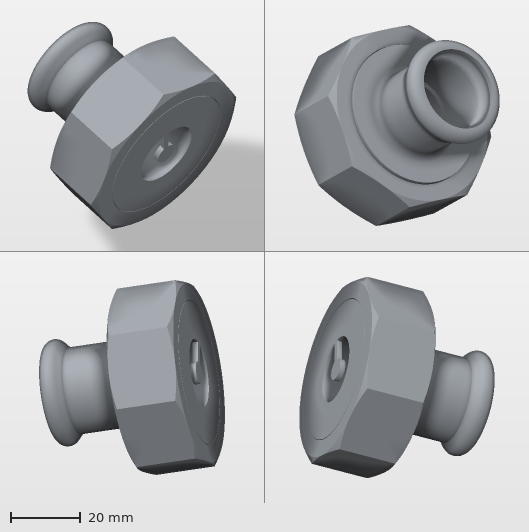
import cadquery as cq
import math

OVERALL_LENGTH = 44.0

NUT_CORNER_DIAMETER = 56.3
NUT_SIDES = 8
NUT_START = 24.1
NUT_LENGTH = OVERALL_LENGTH - NUT_START
NUT_HOLE_DIAMETER = 42.0
NUT_FLAT_RADIUS = NUT_CORNER_DIAMETER / 2 * math.cos(math.pi / NUT_SIDES)
CHAMFER_ANGLE = 30.0
CHAMFER_LENGTH = (NUT_CORNER_DIAMETER / 2 - NUT_FLAT_RADIUS) * math.tan(math.radians(CHAMFER_ANGLE))

TUBE_RADIUS = 25.2 / 2
TUBE_BORE_RADIUS = 22.2 / 2
WALL = TUBE_RADIUS - TUBE_BORE_RADIUS
COLLAR_RADIUS = 41.6 / 2
COLLAR_START = 23.0
ROOT_FILLET = 1.95
END_BORE_RADIUS = 19.6 / 2

BEAD_ARC_RADIUS = 2.9
BEAD_CAVITY_RADIUS = BEAD_ARC_RADIUS - WALL
BEAD_CONE_START = 5.1
BEAD_CONE_END = 6.9
CAVITY_CONE_START = 4.05
CAVITY_CONE_END = 5.85
CAVITY_CONE_END_RADIUS = 23.3 / 2
BORE_START = 7.2

LIP_RADIUS = 12.0
LIP_STRAIGHT_LENGTH = 0.8
LIP_END = 1.8
LIP_END_RADIUS = 12.1

DISC_DIAMETER = 6.4
ARM_WIDTH = 1.7
DISC_THICKNESS = 1.7


def bead_arc_height(x, radius):
    """Distance from the X axis to the bead arc of the given radius at position x."""
    return TUBE_RADIUS + math.sqrt(radius**2 - (x - BEAD_ARC_RADIUS) ** 2)


def revolve_about_x(profile):
    return profile.close().revolve(360, (0, 0, 0), (1, 0, 0))


def make_nut():
    blank = (
        cq.Workplane("YZ")
        .workplane(offset=NUT_START)
        .polygon(NUT_SIDES, NUT_CORNER_DIAMETER)
        .extrude(NUT_LENGTH)
    )
    corner_radius = NUT_CORNER_DIAMETER / 2
    chamfer_envelope = revolve_about_x(
        cq.Workplane("XY")
        .moveTo(NUT_START, 0)
        .lineTo(NUT_START, NUT_FLAT_RADIUS)
        .lineTo(NUT_START + CHAMFER_LENGTH, corner_radius)
        .lineTo(OVERALL_LENGTH - CHAMFER_LENGTH, corner_radius)
        .lineTo(OVERALL_LENGTH, NUT_FLAT_RADIUS)
        .lineTo(OVERALL_LENGTH, 0)
    )
    return blank.intersect(chamfer_envelope).faces("<X").workplane().hole(NUT_HOLE_DIAMETER)


def make_tail_shell():
    fillet_offset = ROOT_FILLET * (1 - math.sqrt(0.5))
    fillet_start = COLLAR_START - ROOT_FILLET
    cavity_entry = BEAD_ARC_RADIUS - BEAD_CAVITY_RADIUS
    cavity_top = (BEAD_ARC_RADIUS, TUBE_RADIUS + BEAD_CAVITY_RADIUS)
    cone_slope = (
        CAVITY_CONE_END - CAVITY_CONE_START,
        CAVITY_CONE_END_RADIUS - bead_arc_height(CAVITY_CONE_START, BEAD_CAVITY_RADIUS),
    )
    outside = (
        cq.Workplane("XY")
        .moveTo(0, TUBE_RADIUS)
        .threePointArc(
            (BEAD_ARC_RADIUS, TUBE_RADIUS + BEAD_ARC_RADIUS),
            (BEAD_CONE_START, bead_arc_height(BEAD_CONE_START, BEAD_ARC_RADIUS)),
        )
        .lineTo(BEAD_CONE_END, TUBE_RADIUS)
        .lineTo(fillet_start, TUBE_RADIUS)
        .threePointArc(
            (COLLAR_START - fillet_offset, TUBE_RADIUS + fillet_offset),
            (COLLAR_START, TUBE_RADIUS + ROOT_FILLET),
        )
        .lineTo(COLLAR_START, COLLAR_RADIUS)
        .lineTo(OVERALL_LENGTH, COLLAR_RADIUS)
    )
    profile = (
        outside.lineTo(OVERALL_LENGTH, END_BORE_RADIUS)
        .lineTo(COLLAR_START, END_BORE_RADIUS)
        .lineTo(COLLAR_START, TUBE_BORE_RADIUS)
        .lineTo(BORE_START, TUBE_BORE_RADIUS)
        .spline(
            [(CAVITY_CONE_END, CAVITY_CONE_END_RADIUS)],
            tangents=[(-1, 0), (-cone_slope[0], -cone_slope[1])],
            includeCurrent=True,
        )
        .lineTo(CAVITY_CONE_START, bead_arc_height(CAVITY_CONE_START, BEAD_CAVITY_RADIUS))
        .threePointArc(cavity_top, (cavity_entry, TUBE_RADIUS))
        .lineTo(LIP_END, LIP_END_RADIUS)
        .lineTo(LIP_STRAIGHT_LENGTH, LIP_RADIUS)
        .lineTo(0, LIP_RADIUS)
    )
    return revolve_about_x(profile)


def make_disc_and_arm():
    plane = cq.Workplane("YZ").workplane(offset=OVERALL_LENGTH - DISC_THICKNESS)
    disc = plane.circle(DISC_DIAMETER / 2).extrude(DISC_THICKNESS)
    arm_length = END_BORE_RADIUS + ARM_WIDTH
    arm = plane.center(0, arm_length / 2).rect(ARM_WIDTH, arm_length).extrude(DISC_THICKNESS)
    return disc.union(arm)


nut = make_nut()
tailpiece = make_tail_shell().union(make_disc_and_arm())

result = cq.Compound.makeCompound([nut.val(), tailpiece.val()])